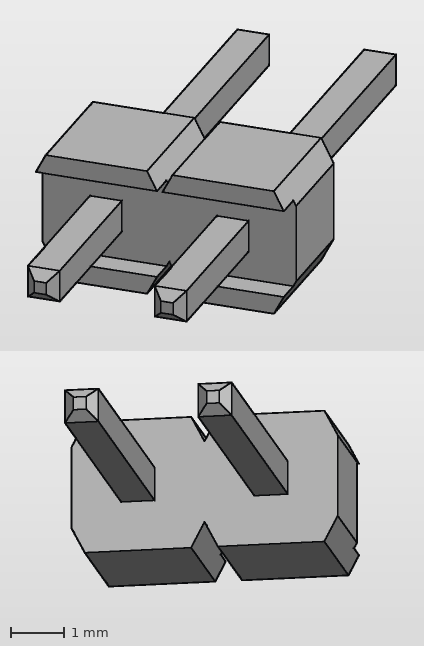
import cadquery as cq

pin_count = 2
pitch = 2.54

pin_length = 11.6
pin_width = 0.64
tip_chamfer = 0.2

housing_height = 2.54
housing_depth = 2.53
bevel_width = 0.25
bevel_height = 0.49
recess_depth = 0.51
flange_thickness = 0.38
front_pin_reach = 3.0

housing_length = pin_count * pitch
housing_front = -pin_length / 2 + front_pin_reach
pin_centers = [(i - (pin_count - 1) / 2) * pitch for i in range(pin_count)]


def box_along_y(width, height, depth, x, y_start):
    """Box centred on (x, z=0) that starts at y_start and runs toward +Y."""
    return cq.Workplane("XY").box(width, depth, height).translate((x, y_start + depth / 2, 0))


def housing_cell(x):
    """One eight-sided cell of the housing, centred on its pin."""
    side = pitch / 2
    top = housing_height / 2
    top_half_width = side - bevel_width
    side_half_height = top - bevel_height
    corners = [
        (top_half_width, top),
        (side, side_half_height),
        (side, -side_half_height),
        (top_half_width, -top),
        (-top_half_width, -top),
        (-side, -side_half_height),
        (-side, side_half_height),
        (-top_half_width, top),
    ]
    outline = cq.Workplane("XZ").polyline(corners).close()
    return outline.extrude(-housing_depth).translate((x, housing_front, 0))


def make_housing():
    """Row of joined cells with a front recess between two flanges and square pin holes."""
    housing = housing_cell(pin_centers[0])
    for x in pin_centers[1:]:
        housing = housing.union(housing_cell(x))

    recess_height = housing_height - 2 * flange_thickness
    housing = housing.cut(box_along_y(housing_length, recess_height, recess_depth, 0, housing_front))

    for x in pin_centers:
        housing = housing.cut(box_along_y(pin_width, pin_width, housing_depth, x, housing_front))
    return housing


def make_pin(x):
    """Square pin with a blunt pyramid at each end."""
    pin = box_along_y(pin_width, pin_width, pin_length, x, -pin_length / 2)
    return pin.faces("<Y or >Y").edges().chamfer(tip_chamfer)


housing = make_housing()
pins = [make_pin(x) for x in pin_centers]
result = cq.Compound.makeCompound([housing.val(), *[pin.val() for pin in pins]])